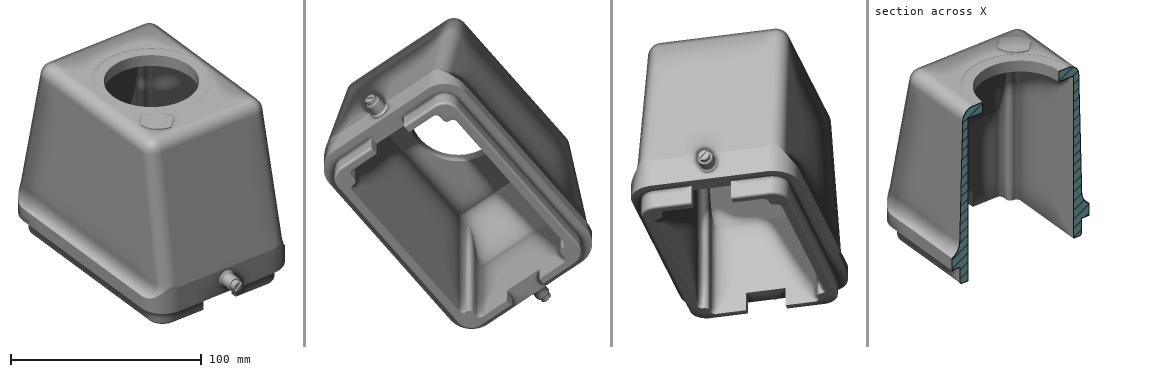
import cadquery as cq
import math

TOP_HEIGHT = 107.7
PLUG_HEIGHT = 10.4
LEDGE_HEIGHT = 16.8

FLANGE_LENGTH = 132.2
FLANGE_WIDTH = 90.0
FLANGE_CORNER_RADIUS = 14.0
LEDGE_FILLET = 9.5

HOOD_TOP_LENGTH = 99.6
HOOD_TOP_WIDTH = 75.9
END_DRAFT = 11.2
SIDE_DRAFT = 1.5
HOOD_FILLET = 7.3

PLUG_LENGTH = 121.2
PLUG_WIDTH = 79.5
PLUG_CORNER_RADIUS = 9.0
PLUG_EDGE_FILLET = 1.4
NOTCH_WIDTH = 21.4

ROOF_THICKNESS = 6.9
END_WALL = 4.6
SIDE_WALL = 5.4
POCKET_LENGTH = 97.0
RECESS_WIDTH = 58.1
CAVITY_CORNER_RADIUS = 2.6

ENTRY_DIAMETER = 50.0
ENTRY_FACE_DIAMETER = 63.0
ENTRY_FACE_DEPTH = 0.2

PIN_HEIGHT = 19.0
PIN_TIP_X = 76.5
PIN_SHOULDER_X = 73.6
PIN_COLLAR_X = 67.6
PIN_COLLAR_RIM_X = 66.7
PIN_ROOT_X = 64.3
PIN_DIAMETER = 8.0
PIN_SHOULDER_DIAMETER = 7.3
PIN_TIP_DIAMETER = 6.0
PIN_COLLAR_DIAMETER = 10.0
PIN_SHOULDER_CHAMFER = 0.6
PIN_TIP_CHAMFER = 0.5
PIN_SLOT_WIDTH = 0.9
PIN_SLOT_DEPTH = 0.8
PIN_SLOT_ANGLE = 45.0

BADGE_X = 33.7
BADGE_Y = -21.3
BADGE_LENGTH = 16.4
BADGE_WIDTH = 15.0
BADGE_END_WIDTH = 8.4
BADGE_ANGLE = 45.0
BADGE_HEIGHT = 0.8


def spread(draft, drop):
    """Sideways distance that a drafted wall moves outwards over a drop in height."""
    return drop * math.tan(math.radians(draft))


def trapezoid_bar(plane, top_width, draft, bottom_z, top_z):
    """Long bar with a symmetric trapezoid section that widens downwards."""
    half_top = top_width / 2
    half_bottom = half_top + spread(draft, top_z - bottom_z)
    section = [(-half_bottom, bottom_z), (half_bottom, bottom_z), (half_top, top_z), (-half_top, top_z)]
    return cq.Workplane(plane).polyline(section).close().extrude(FLANGE_LENGTH, both=True)


def rounded_prism(length, width, radius, bottom_z, top_z):
    """Upright prism with rounded vertical corners."""
    return (
        cq.Workplane("XY")
        .workplane(offset=bottom_z)
        .rect(length, width)
        .extrude(top_z - bottom_z)
        .edges("|Z")
        .fillet(radius)
    )


def make_hood():
    """Tapered hood whose sides flare into the flange, trimmed to the flange outline."""
    sides = trapezoid_bar("YZ", HOOD_TOP_WIDTH, SIDE_DRAFT, PLUG_HEIGHT, TOP_HEIGHT)
    ledge = (
        cq.Workplane("XY")
        .workplane(offset=PLUG_HEIGHT)
        .rect(2 * FLANGE_LENGTH, 2 * FLANGE_WIDTH)
        .extrude(LEDGE_HEIGHT - PLUG_HEIGHT)
    )
    flared = sides.union(ledge)
    foot_y = HOOD_TOP_WIDTH / 2 + spread(SIDE_DRAFT, TOP_HEIGHT - LEDGE_HEIGHT)
    for side in (-1, 1):
        foot_edge = cq.NearestToPointSelector((0, side * foot_y, LEDGE_HEIGHT))
        flared = flared.edges(foot_edge).fillet(LEDGE_FILLET)
    hood = flared.intersect(trapezoid_bar("XZ", HOOD_TOP_LENGTH, END_DRAFT, PLUG_HEIGHT, TOP_HEIGHT))

    middle_z = (TOP_HEIGHT + LEDGE_HEIGHT) / 2
    corner_x = HOOD_TOP_LENGTH / 2 + spread(END_DRAFT, TOP_HEIGHT - middle_z)
    corner_y = HOOD_TOP_WIDTH / 2 + spread(SIDE_DRAFT, TOP_HEIGHT - middle_z)
    rounded_edges = hood.faces(">Z").edges()
    for x in (-corner_x, corner_x):
        for y in (-corner_y, corner_y):
            rounded_edges = rounded_edges.add(hood.edges(cq.NearestToPointSelector((x, y, middle_z))))
    hood = hood.newObject(rounded_edges.vals()).fillet(HOOD_FILLET)

    outline = rounded_prism(FLANGE_LENGTH, FLANGE_WIDTH, FLANGE_CORNER_RADIUS, PLUG_HEIGHT, TOP_HEIGHT)
    return hood.intersect(outline)


def make_plug():
    """Plug below the flange, rounded along its lower rim."""
    plug = rounded_prism(PLUG_LENGTH, PLUG_WIDTH, PLUG_CORNER_RADIUS, 0, PLUG_HEIGHT)
    return plug.faces("<Z").edges().fillet(PLUG_EDGE_FILLET)


def make_cavity():
    """Straight pocket with a recess in each end wall, narrowed by the tapered ends."""
    ceiling = TOP_HEIGHT - ROOF_THICKNESS
    ceiling_length = HOOD_TOP_LENGTH + 2 * (spread(END_DRAFT, ROOF_THICKNESS) - END_WALL)
    pocket_width = PLUG_WIDTH - 2 * SIDE_WALL
    recess_length = PLUG_LENGTH - 2 * END_WALL
    pocket = cq.Workplane("XY").rect(POCKET_LENGTH, pocket_width).extrude(TOP_HEIGHT)
    recess = cq.Workplane("XY").rect(recess_length, RECESS_WIDTH).extrude(TOP_HEIGHT)
    straight = pocket.union(recess).edges("|Z").fillet(CAVITY_CORNER_RADIUS)
    return straight.intersect(trapezoid_bar("XZ", ceiling_length, END_DRAFT, 0, ceiling))


def make_pin():
    """Stepped locking pin on the +X end, with a screwdriver slot in its tip."""
    profile = [
        (PIN_ROOT_X, 0),
        (PIN_ROOT_X, PIN_COLLAR_DIAMETER / 2),
        (PIN_COLLAR_RIM_X, PIN_COLLAR_DIAMETER / 2),
        (PIN_COLLAR_X, PIN_DIAMETER / 2),
        (PIN_SHOULDER_X - PIN_SHOULDER_CHAMFER, PIN_DIAMETER / 2),
        (PIN_SHOULDER_X, PIN_SHOULDER_DIAMETER / 2),
        (PIN_SHOULDER_X, PIN_TIP_DIAMETER / 2),
        (PIN_TIP_X - PIN_TIP_CHAMFER, PIN_TIP_DIAMETER / 2),
        (PIN_TIP_X, PIN_TIP_DIAMETER / 2 - PIN_TIP_CHAMFER),
        (PIN_TIP_X, 0),
    ]
    pin = cq.Workplane("XY").polyline(profile).close().revolve(360, (0, 0, 0), (1, 0, 0))
    slot = (
        cq.Workplane("YZ")
        .workplane(offset=PIN_TIP_X - PIN_SLOT_DEPTH)
        .transformed(rotate=(0, 0, PIN_SLOT_ANGLE))
        .rect(PIN_DIAMETER, PIN_SLOT_WIDTH)
        .extrude(PIN_SLOT_DEPTH)
    )
    return pin.cut(slot).translate((0, 0, PIN_HEIGHT))


def make_badge():
    """Raised plate with two flat ends and two bowed sides."""
    half_length = BADGE_LENGTH / 2
    half_width = BADGE_WIDTH / 2
    half_end = BADGE_END_WIDTH / 2
    return (
        cq.Workplane("XY")
        .moveTo(-half_length, -half_end)
        .threePointArc((0, -half_width), (half_length, -half_end))
        .lineTo(half_length, half_end)
        .threePointArc((0, half_width), (-half_length, half_end))
        .close()
        .extrude(BADGE_HEIGHT)
        .rotate((0, 0, 0), (0, 0, 1), BADGE_ANGLE)
        .translate((BADGE_X, BADGE_Y, TOP_HEIGHT))
    )


def make_notches():
    """Gap in both end walls of the plug."""
    return cq.Workplane("XY").rect(FLANGE_LENGTH, NOTCH_WIDTH).extrude(PLUG_HEIGHT)


def make_entry():
    """Cable entry through the roof with a shallow seal face around it."""
    bore = cq.Workplane("XY").circle(ENTRY_DIAMETER / 2).extrude(TOP_HEIGHT)
    face = (
        cq.Workplane("XY")
        .workplane(offset=TOP_HEIGHT - ENTRY_FACE_DEPTH)
        .circle(ENTRY_FACE_DIAMETER / 2)
        .extrude(ENTRY_FACE_DEPTH)
    )
    return bore.union(face)


pin = make_pin()
result = make_hood().union(make_plug()).union(make_badge())
result = result.cut(make_cavity()).cut(make_notches()).cut(make_entry())
result = result.union(pin).union(pin.mirror("YZ"))